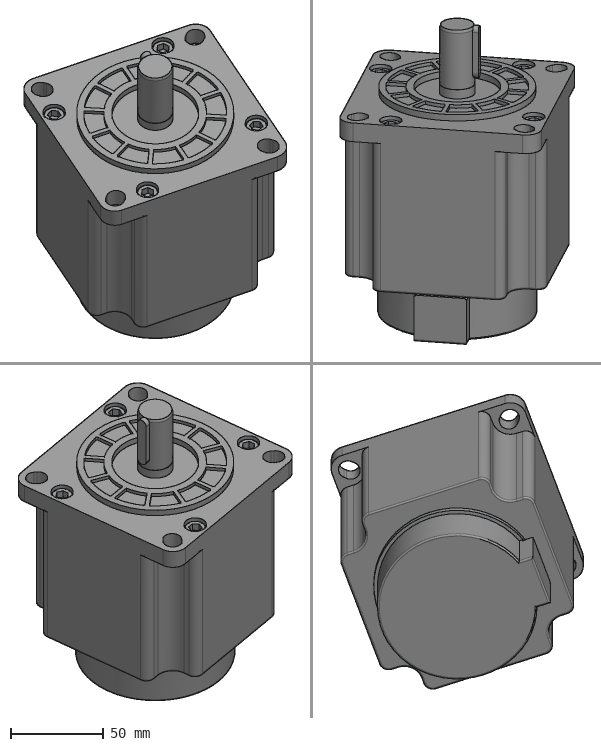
import cadquery as cq
import math

cover_top = 26.9
collar_top = 30.0
flange_bottom = 116.4
flange_top = 127.3
pilot_top = 131.0
shaft_step = 132.6
shaft_top = 167.0

side = 111.0
half_side = side / 2
flange_corner_radius = 8.7
corner_count = 4
first_corner_angle = 45
notch_centre = 46.8
notch_radius = 10.0
notch_lip_radius = 5.2
body_edge_radius = 1.0

collar_radius = 45.3
cover_radius = 43.3
cover_edge_radius = 1.0
block_width = 29.0
block_reach = 48.5
block_bevel = 1.0
block_bevel_start = 42.5

pilot_radius = 42.6
recess_radius = 23.5
pocket_count = 12
pocket_outer_radius = 38.7
pocket_inner_radius = 27.9
pocket_depth = 2.0
pocket_corner_radius = 0.8
rib_width = 2.5

shaft_radius = 9.5
shaft_base_radius = 9.7
shaft_chamfer = 1.7
shaft_chamfer_inset = 0.5
key_width = 6.0
key_length = 30.0
key_reach = 12.2

slot_centre = 46.0
slot_width = 10.2
slot_stretch = 1.7

screw_count = 4
screw_circle_radius = 55.0
screw_first_angle = 60
counterbore_diameter = 12.0
counterbore_depth = 2.0
head_diameter = 11.0
head_groove_depth = 1.0
socket_sides = 6
socket_diameter = 7.2
socket_depth = 4.3


def disc(radius, bottom, top):
    return cq.Workplane("XY").workplane(offset=bottom).circle(radius).extrude(top - bottom)


def ring_of(shape, count, first_angle=0):
    """Copies of a shape spread evenly around the Z axis, as one workplane."""
    copies = cq.Workplane("XY")
    for index in range(count):
        copies = copies.add(shape.rotate((0, 0, 0), (0, 0, 1), first_angle + index * 360 / count))
    return copies.combine()


def corner_notch():
    """Corner cutter: a round notch about the corner slot, with rounded lips onto both sides."""
    near = notch_centre - notch_radius
    lip = half_side - notch_lip_radius
    lip_start = near - notch_lip_radius
    lip_mid = notch_lip_radius * math.sqrt(0.5)
    notch_mid = notch_centre - notch_radius * math.sqrt(0.5)
    return (
        cq.Workplane("XY")
        .workplane(offset=collar_top)
        .moveTo(half_side, lip_start)
        .threePointArc((lip + lip_mid, lip_start + lip_mid), (lip, near))
        .lineTo(notch_centre, near)
        .threePointArc((notch_mid, notch_mid), (near, notch_centre))
        .lineTo(near, lip)
        .threePointArc((lip_start + lip_mid, lip + lip_mid), (lip_start, half_side))
        .lineTo(half_side, half_side)
        .close()
        .extrude(flange_bottom - collar_top)
    )


def body():
    height = flange_bottom - collar_top
    block = cq.Workplane("XY").workplane(offset=collar_top).rect(side, side).extrude(height)
    block = block.cut(ring_of(corner_notch(), corner_count))
    return block.faces("<Z").fillet(body_edge_radius)


def flange():
    plate = cq.Workplane("XY").workplane(offset=flange_bottom).rect(side, side)
    plate = plate.extrude(flange_top - flange_bottom).edges("|Z").fillet(flange_corner_radius)
    slot = (
        cq.Workplane("XY")
        .workplane(offset=flange_bottom)
        .center(slot_centre * math.sqrt(2), 0)
        .slot2D(slot_width + slot_stretch, slot_width)
        .extrude(flange_top - flange_bottom)
    )
    return plate.cut(ring_of(slot, corner_count, first_corner_angle))


def screw_recess():
    """Counterbore whose floor is the screw head, with its rim groove and hexagon socket."""
    head_top = flange_top - counterbore_depth
    centre = cq.Workplane("XY").center(screw_circle_radius, 0)
    bore = centre.workplane(offset=flange_top).circle(counterbore_diameter / 2).extrude(-counterbore_depth)
    groove = (
        centre.workplane(offset=head_top)
        .circle(counterbore_diameter / 2)
        .circle(head_diameter / 2)
        .extrude(-head_groove_depth)
    )
    socket = centre.workplane(offset=head_top).polygon(socket_sides, socket_diameter).extrude(-socket_depth)
    return bore.union(groove).union(socket)


def pocket():
    """One sector pocket of the pilot ring, centred between two ribs."""
    floor = pilot_top - pocket_depth
    ring = (
        cq.Workplane("XY")
        .workplane(offset=floor)
        .circle(pocket_outer_radius)
        .circle(pocket_inner_radius)
        .extrude(pocket_depth)
    )
    half_angle = math.pi / pocket_count
    apex = rib_width / 2 / math.sin(half_angle)
    wedge_end = apex + pocket_outer_radius
    wedge_half_width = pocket_outer_radius * math.tan(half_angle)
    wedge = (
        cq.Workplane("XY")
        .workplane(offset=floor)
        .polyline([(apex, 0), (wedge_end, wedge_half_width), (wedge_end, -wedge_half_width)])
        .close()
        .extrude(pocket_depth)
    )
    sector = ring.intersect(wedge).edges("|Z").edges(">X").fillet(pocket_corner_radius)
    return sector.rotate((0, 0, 0), (0, 0, 1), math.degrees(half_angle))


def pilot():
    ring = disc(pilot_radius, flange_top, pilot_top)
    ring = ring.cut(disc(recess_radius, flange_top, pilot_top))
    return ring.cut(ring_of(pocket(), pocket_count))


def shaft():
    base = disc(shaft_base_radius, flange_top, shaft_step)
    journal = disc(shaft_radius, shaft_step, shaft_top)
    journal = journal.faces(">Z").chamfer(shaft_chamfer, shaft_chamfer_inset)
    key = (
        cq.Workplane("YZ")
        .center(0, shaft_top - key_length / 2)
        .slot2D(key_length, key_width, 90)
        .extrude(-key_reach)
    )
    return base.union(journal).union(key)


def block_bevel_cutter(direction):
    """Triangular cutter that bevels one long top edge of the cable block, outboard of the collar."""
    edge = direction * block_width / 2
    return (
        cq.Workplane("XZ", origin=(0, block_reach, 0))
        .polyline([
            (edge, cover_top),
            (edge, cover_top - block_bevel),
            (edge - direction * block_bevel, cover_top),
        ])
        .close()
        .extrude(block_reach - block_bevel_start)
    )


def rear_cover():
    cover = disc(cover_radius, 0, cover_top)
    block = (
        cq.Workplane("XY")
        .center(0, block_reach / 2)
        .rect(block_width, block_reach)
        .extrude(cover_top)
    )
    cover = cover.union(block).faces("<Z").fillet(cover_edge_radius)
    for direction in (-1, 1):
        cover = cover.cut(block_bevel_cutter(direction))
    return cover.union(disc(collar_radius, cover_top, collar_top))


result = body().union(flange()).union(pilot()).union(shaft()).union(rear_cover())
result = result.cut(ring_of(screw_recess(), screw_count, screw_first_angle))